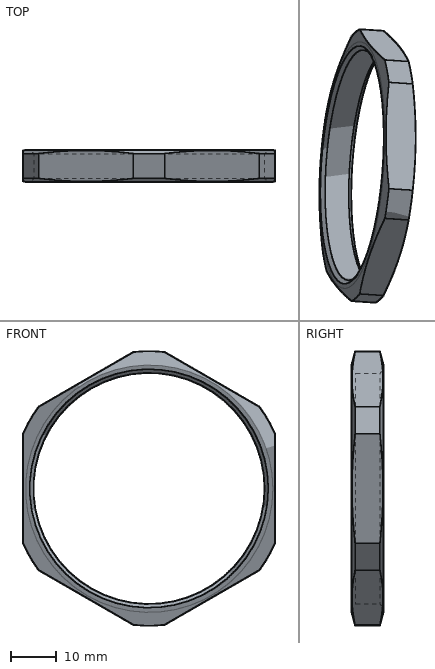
import cadquery as cq
import math

across_flats = 55.0
outer_diameter = 60.0
thickness = 7.0
bore_diameter = 50.4
bore_chamfer = 0.85
face_diameter = 54.0
cone_angle = 15.0

outer_radius = outer_diameter / 2
bore_radius = bore_diameter / 2
face_radius = face_diameter / 2
mouth_radius = bore_radius + bore_chamfer
half_thickness = thickness / 2
cone_drop = (outer_radius - face_radius) * math.tan(math.radians(cone_angle))
rim_half_width = half_thickness - cone_drop
bore_half_length = half_thickness - bore_chamfer


def make_ring():
    """Round ring with conical outer chamfers and a chamfered bore."""
    section = [
        (bore_radius, -bore_half_length),
        (mouth_radius, -half_thickness),
        (face_radius, -half_thickness),
        (outer_radius, -rim_half_width),
        (outer_radius, rim_half_width),
        (face_radius, half_thickness),
        (mouth_radius, half_thickness),
        (bore_radius, bore_half_length),
    ]
    return cq.Workplane("XY").polyline(section).close().revolve(360, (0, 0, 0), (0, 1, 0))


def make_hexagon():
    """Hexagonal prism with corners on the Z axis and two flats facing X."""
    across_corners = across_flats / math.cos(math.pi / 6)
    return (
        cq.Workplane("XZ")
        .transformed(rotate=(0, 0, 90))
        .polygon(6, across_corners)
        .extrude(half_thickness, both=True)
    )


result = make_ring().intersect(make_hexagon())